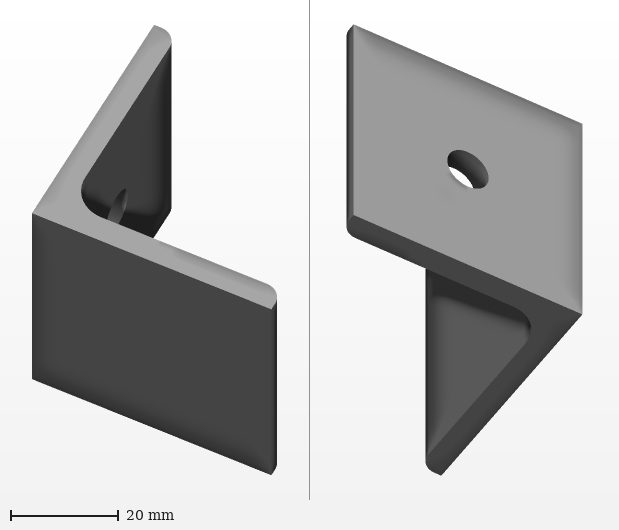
import cadquery as cq

leg_length = 50.0
height = 50.0
thickness = 5.0
root_radius = 7.0
toe_radius = 3.5
hole_diameter = 9.0


def angle_profile():
    """L-shaped section with its outer corner at the origin."""
    return (
        cq.Workplane("XY")
        .moveTo(0, 0)
        .lineTo(leg_length, 0)
        .lineTo(leg_length, thickness)
        .lineTo(thickness, thickness)
        .lineTo(thickness, leg_length)
        .lineTo(0, leg_length)
        .close()
    )


def vertical_edge_at(x, y):
    """Selector for the vertical edge through (x, y)."""
    return cq.selectors.NearestToPointSelector((x, y, height / 2))


bracket = angle_profile().extrude(height)

bracket = bracket.edges(vertical_edge_at(thickness, thickness)).fillet(root_radius)

for x, y in [(leg_length, thickness), (thickness, leg_length)]:
    bracket = bracket.edges(vertical_edge_at(x, y)).fillet(toe_radius)

hole = (
    cq.Workplane("YZ")
    .center(leg_length / 2, height / 2)
    .circle(hole_diameter / 2)
    .extrude(thickness)
)

result = bracket.cut(hole)